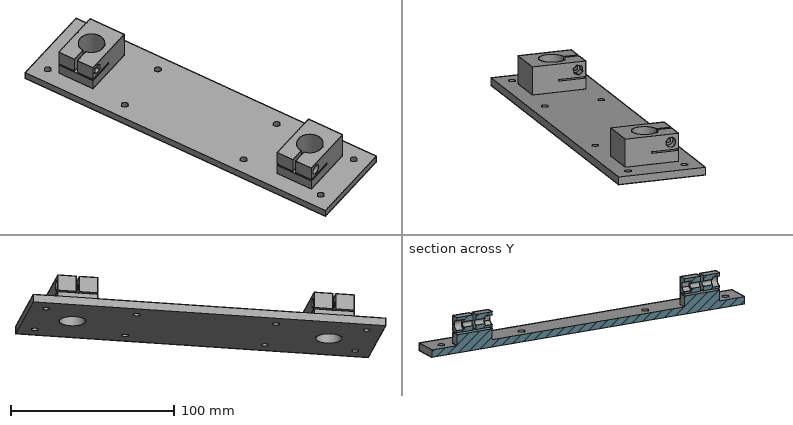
import cadquery as cq

PLATE_LENGTH = 220.0
PLATE_WIDTH = 57.0
PLATE_THICKNESS = 5.0

MOUNT_HOLE_DIAMETER = 4.2
MOUNT_HOLE_END_DISTANCE = 10.0
MOUNT_HOLE_PITCH_X = 56.5
MOUNT_HOLE_PITCH_Y = 37.0

OVERALL_HEIGHT = 23.0
CLAMP_LENGTH = 25.0
CLAMP_WIDTH = 35.0
CLAMP_SPACING = 160.0
ROD_BORE_DIAMETER = 16.3

JAW_HEIGHT = 10.0
RELIEF_GAP = 1.0
CLAMP_SLOT_WIDTH = 2.0

SCREW_HOLE_DIAMETER = 3.2
SCREW_HEAD_DIAMETER = 6.2
SCREW_HEAD_DEPTH = 5.0
SCREW_FRONT_DISTANCE = 5.0
SCREW_TOP_DISTANCE = 5.3

NUT_SIDES = 6
NUT_ACROSS_CORNERS = 6.6
NUT_DEPTH = 5.0
NUT_ANGLE = 20.0

CLAMP_HEIGHT = OVERALL_HEIGHT - PLATE_THICKNESS
CLAMP_FRONT_Y = -CLAMP_WIDTH / 2
CLAMP_CENTER_X = CLAMP_SPACING / 2
JAW_BOTTOM_Z = OVERALL_HEIGHT - JAW_HEIGHT
RELIEF_BOTTOM_Z = JAW_BOTTOM_Z - RELIEF_GAP
SCREW_Y = CLAMP_FRONT_Y + SCREW_FRONT_DISTANCE
SCREW_Z = OVERALL_HEIGHT - SCREW_TOP_DISTANCE


def block(length, width, height, y_min, z_min):
    """Box centred on X = 0, starting at the given Y and Z."""
    return (
        cq.Workplane("XY")
        .box(length, width, height, centered=(True, False, False))
        .translate((0, y_min, z_min))
    )


def screw_plane(x):
    """Workplane facing +X, centred on the clamp screw axis."""
    return cq.Workplane("YZ", origin=(x, SCREW_Y, SCREW_Z))


def make_plate():
    """Base plate with its two mounting hole patterns."""
    outer_x = PLATE_LENGTH / 2 - MOUNT_HOLE_END_DISTANCE
    inner_x = outer_x - MOUNT_HOLE_PITCH_X
    hole_y = MOUNT_HOLE_PITCH_Y / 2
    hole_points = [
        (x, y)
        for x in (-outer_x, -inner_x, inner_x, outer_x)
        for y in (-hole_y, hole_y)
    ]
    plate = block(PLATE_LENGTH, PLATE_WIDTH, PLATE_THICKNESS, -PLATE_WIDTH / 2, 0)
    return plate.faces(">Z").workplane(origin=(0, 0, 0)).pushPoints(hole_points).hole(MOUNT_HOLE_DIAMETER)


def make_screw_cut():
    """Screw hole with a round head recess on -X and a nut pocket on +X."""
    half_length = CLAMP_LENGTH / 2
    hole = screw_plane(-half_length).circle(SCREW_HOLE_DIAMETER / 2).extrude(CLAMP_LENGTH)
    head_recess = screw_plane(-half_length).circle(SCREW_HEAD_DIAMETER / 2).extrude(SCREW_HEAD_DEPTH)
    nut_pocket = (
        screw_plane(half_length)
        .transformed(rotate=(0, 0, NUT_ANGLE))
        .polygon(NUT_SIDES, NUT_ACROSS_CORNERS)
        .extrude(-NUT_DEPTH)
    )
    return hole.union(head_recess).union(nut_pocket)


def make_clamp():
    """Split clamp block centred on X = 0, without the rod bore."""
    clamp = block(CLAMP_LENGTH, CLAMP_WIDTH, CLAMP_HEIGHT, CLAMP_FRONT_Y, PLATE_THICKNESS)

    cut_depth = -CLAMP_FRONT_Y
    relief = block(CLAMP_LENGTH, cut_depth, RELIEF_GAP, CLAMP_FRONT_Y, RELIEF_BOTTOM_Z)
    slot = block(CLAMP_SLOT_WIDTH, cut_depth, JAW_HEIGHT, CLAMP_FRONT_Y, JAW_BOTTOM_Z)
    return clamp.cut(relief).cut(slot).cut(make_screw_cut())


def make_rod_bores():
    """Cylinders for the rods, passing through the clamps and the plate."""
    return (
        cq.Workplane("XY")
        .pushPoints([(-CLAMP_CENTER_X, 0), (CLAMP_CENTER_X, 0)])
        .circle(ROD_BORE_DIAMETER / 2)
        .extrude(OVERALL_HEIGHT)
    )


left_clamp = make_clamp().translate((-CLAMP_CENTER_X, 0, 0))
right_clamp = left_clamp.mirror("YZ")
result = make_plate().union(left_clamp).union(right_clamp).cut(make_rod_bores())